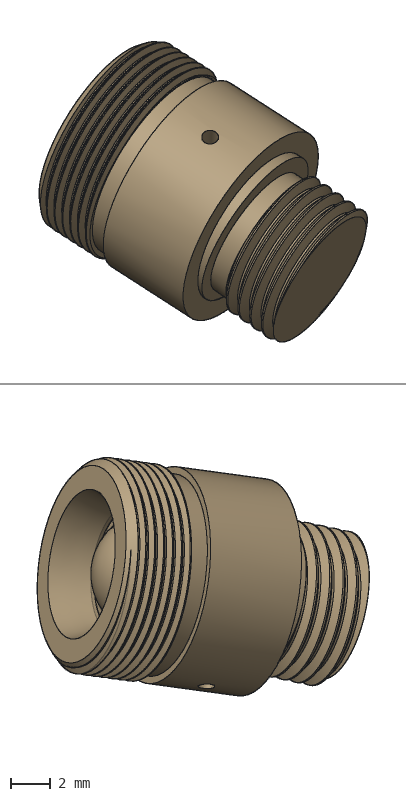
import cadquery as cq
import math


body_radius = 5.501
front_face_radius = 5.0
front_pitch = 2 * body_radius / 22
front_thread_root_radius = 5.19
front_thread_length = 3.52
front_crest_position = 0.01
neck_radius = 5.13
sleeve_start = 4.5
sleeve_end = 9.6

mouth_radius = 3.79
mouth_depth = 2.1
lens_radius = 3.16
lens_apex = 0.9
lens_dome_radius = 3.17
lens_face = 2.24
lens_back = 3.6
lens_dome_fillet = 0.27
lens_chamfer = 0.1

glue_hole_radius = 0.42
glue_hole_position = 7.01

spigot_radius = 4.3
spigot_start = 5.91
tilt_angle = 4.0
tilt_pivot = 6.11
flange_face = 9.88
stub_neck_radius = 3.56
stub_root_radius = 3.53
stub_thread_radius = 4.0
stub_pitch = 0.75
stub_thread_start = 4.73
stub_thread_end = 8.06
stub_crest_position = 4.57

crest_flat_share = 1 / 8
flank_angle = 30.0
ridge_root_overlap = 0.06


def cylinder(radius, start, end):
    """Cylinder on the X axis between two positions."""
    return cq.Workplane("YZ").workplane(offset=start).circle(radius).extrude(end - start)


def turned(outline):
    """Solid of revolution about the X axis, from the (x, radius) points of its outline."""
    return cq.Workplane("XY").polyline(outline).close().revolve(360, (0, 0, 0), (1, 0, 0))


def overlong_thread(crest_radius, root_radius, pitch, start, end, crest_position):
    """Right-hand thread on the X axis that runs past both start and end, to be trimmed there.

    On its lowest side a crest lies at crest_position, and others every pitch from it.
    """
    turns_before = math.ceil((crest_position - start) / pitch + 1)
    helix_start = crest_position - turns_before * pitch
    turns = math.ceil((end - helix_start) / pitch + 1)

    base_radius = root_radius - ridge_root_overlap
    crest_half = crest_flat_share * pitch / 2
    base_half = crest_half + (crest_radius - base_radius) * math.tan(math.radians(flank_angle))
    helix = cq.Wire.makeHelix(pitch, turns * pitch, root_radius)
    ridge = (
        cq.Workplane("XZ")
        .polyline([
            (base_radius, -base_half),
            (crest_radius, -crest_half),
            (crest_radius, crest_half),
            (base_radius, base_half),
        ])
        .close()
        .sweep(cq.Workplane(obj=helix), isFrenet=True)
        .rotate((0, 0, 0), (0, 1, 0), 90)
        .translate((helix_start, 0, 0))
    )
    long_core = cylinder(root_radius, helix_start - pitch, helix_start + (turns + 1) * pitch)
    return long_core.union(ridge)


def make_housing():
    front_thread = overlong_thread(
        body_radius, front_thread_root_radius, front_pitch, 0, front_thread_length, front_crest_position
    )
    clear_radius = body_radius + 0.15
    chamfered_envelope = turned([
        (0, 0),
        (0, front_face_radius),
        (clear_radius - front_face_radius, clear_radius),
        (front_thread_length, clear_radius),
        (front_thread_length, 0),
    ])
    neck = cylinder(neck_radius, front_thread_length, sleeve_start)
    sleeve = cylinder(body_radius, sleeve_start, sleeve_end)
    outside = front_thread.intersect(chamfered_envelope).union(neck).union(sleeve)

    front_bore = turned([
        (0, 0),
        (0, mouth_radius),
        (mouth_depth, lens_radius),
        (lens_back, lens_radius),
        (lens_back, 0),
    ])
    spigot_bore = cylinder(spigot_radius, spigot_start, sleeve_end)
    glue_holes = (
        cq.Workplane("XY")
        .center(glue_hole_position, 0)
        .circle(glue_hole_radius)
        .extrude(body_radius + 0.15, both=True)
    )
    return outside.cut(front_bore).cut(spigot_bore).cut(glue_holes)


def make_lens():
    dome_centre = lens_apex + lens_dome_radius
    dome_foot_radius = math.sqrt(lens_dome_radius**2 - (dome_centre - lens_face) ** 2)
    half_angle = math.asin(dome_foot_radius / lens_dome_radius) / 2
    dome_middle = (
        dome_centre - lens_dome_radius * math.cos(half_angle),
        lens_dome_radius * math.sin(half_angle),
    )
    lens = (
        cq.Workplane("XY")
        .moveTo(lens_apex, 0)
        .threePointArc(dome_middle, (lens_face, dome_foot_radius))
        .lineTo(lens_face, lens_radius)
        .lineTo(lens_back, lens_radius)
        .lineTo(lens_back, 0)
        .close()
        .revolve(360, (0, 0, 0), (1, 0, 0))
    )
    dome_foot = lens.edges("%CIRCLE").edges(cq.selectors.RadiusNthSelector(0))
    lens = dome_foot.fillet(lens_dome_fillet)
    flange_rim = lens.faces("%CYLINDER").edges("<X")
    return flange_rim.chamfer(lens_chamfer)


def tilted(part):
    """Moves a part built on the X axis onto the tilted axis, its origin to the pivot."""
    return part.rotate((0, 0, 0), (0, 1, 0), tilt_angle).translate((tilt_pivot, 0, 0))


def make_receptacle():
    flange_distance = (flange_face - tilt_pivot) * math.cos(math.radians(tilt_angle))
    beyond_flange = tilted(cylinder(2 * spigot_radius, flange_distance, stub_thread_end))
    spigot = cylinder(spigot_radius, spigot_start, tilt_pivot + stub_thread_start).cut(beyond_flange)
    stub_neck = tilted(cylinder(stub_neck_radius, flange_distance - 0.15, stub_thread_start))
    trimmed_thread = overlong_thread(
        stub_thread_radius,
        stub_root_radius,
        stub_pitch,
        stub_thread_start,
        stub_thread_end,
        stub_crest_position,
    ).intersect(cylinder(stub_thread_radius + 0.15, stub_thread_start, stub_thread_end))
    stub_thread = tilted(trimmed_thread)
    return spigot.union(stub_neck).union(stub_thread)


housing = make_housing()
lens = make_lens()
receptacle = make_receptacle()

result = cq.Compound.makeCompound([body.solids().val() for body in (housing, lens, receptacle)])